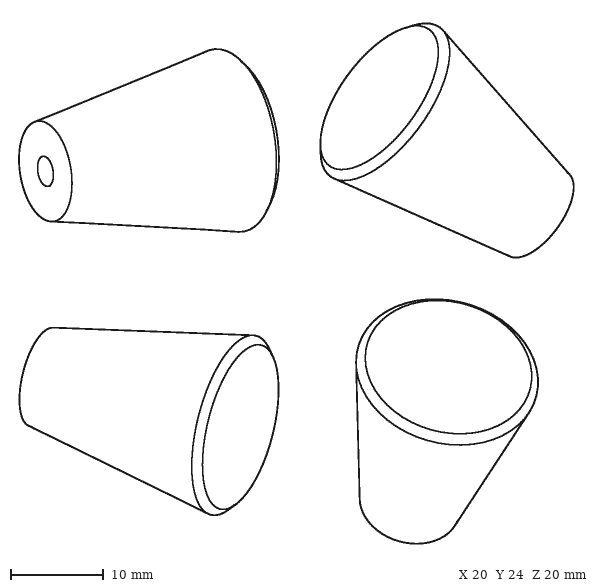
import cadquery as cq
import math

length = 24.0
wide_diameter = 20.0
narrow_diameter = 11.0
chamfer_length = 0.86
chamfer_depth = 0.86

hole_diameter = 3.3
hole_depth = 12.0
drill_point_angle = 118.0

wide_radius = wide_diameter / 2
narrow_radius = narrow_diameter / 2
hole_radius = hole_diameter / 2
drill_tip_length = hole_radius / math.tan(math.radians(drill_point_angle / 2))

half_section = (
    cq.Workplane("XY")
    .moveTo(hole_radius, 0)
    .lineTo(narrow_radius, 0)
    .lineTo(wide_radius, length - chamfer_length)
    .lineTo(wide_radius - chamfer_depth, length)
    .lineTo(0, length)
    .lineTo(0, hole_depth + drill_tip_length)
    .lineTo(hole_radius, hole_depth)
    .close()
)

result = half_section.revolve(360, (0, 0, 0), (0, 1, 0))